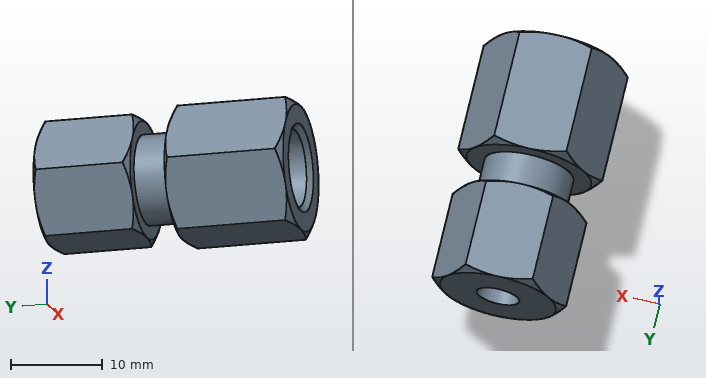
import cadquery as cq
import math

total_length = 28.52
large_flats = 14.0
large_length = 13.5
small_flats = 13.0
small_length = 11.0
neck_diameter = 10.0

nut_chamfer_angle = 30.0

through_diameter = 4.8
socket_diameter = 8.55
socket_mouth_diameter = 9.75
socket_depth = 10.55
mouth_depth = (socket_mouth_diameter - socket_diameter) / 2

neck_length = total_length - large_length - small_length
small_start = large_length + neck_length


def hex_nut(flats, length, start):
    """Hex prism along +Y with corners on X and both ends turned to a cone."""
    corners = flats / math.cos(math.radians(30))
    corner_radius = corners / 2
    face_radius = flats / 2
    cone_depth = (corner_radius - face_radius) * math.tan(math.radians(nut_chamfer_angle))
    prism = cq.Workplane("XZ").polygon(6, corners).extrude(-length)
    envelope = (
        cq.Workplane("XY")
        .moveTo(0, 0)
        .lineTo(face_radius, 0)
        .lineTo(corner_radius, cone_depth)
        .lineTo(corner_radius, length - cone_depth)
        .lineTo(face_radius, length)
        .lineTo(0, length)
        .close()
        .revolve(360, (0, 0, 0), (0, 1, 0))
    )
    return prism.intersect(envelope).translate((0, start, 0))


def bore():
    """Through hole with a wider socket and conical mouth at the front."""
    return (
        cq.Workplane("XY")
        .moveTo(0, 0)
        .lineTo(socket_mouth_diameter / 2, 0)
        .lineTo(socket_diameter / 2, mouth_depth)
        .lineTo(socket_diameter / 2, socket_depth)
        .lineTo(through_diameter / 2, socket_depth)
        .lineTo(through_diameter / 2, total_length)
        .lineTo(0, total_length)
        .close()
        .revolve(360, (0, 0, 0), (0, 1, 0))
    )


neck = cq.Workplane("XZ").circle(neck_diameter / 2).extrude(-total_length)
large_nut = hex_nut(large_flats, large_length, 0)
small_nut = hex_nut(small_flats, small_length, small_start)

result = neck.union(large_nut).union(small_nut).cut(bore())